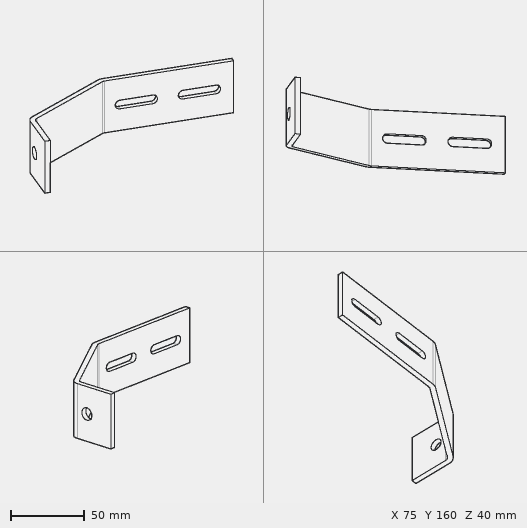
import cadquery as cq
import math

width_x = 75.0
length_y = 160.0
height = 40.0
thickness = 4.0
inner_bend_radius = 3.5
outer_bend_radius = inner_bend_radius + thickness

upper_corner_y = 65.0
lower_corner_x = 40.2

slot_length = 30.2
slot_width = 6.5
slot_end_distances = (24.6, 70.0)

hole_diameter = 9.0
hole_end_distance = 22.0


def bent_strip():
    """Mitred strip outline in XY, extruded upward, with both bends rounded."""
    slant_angle = math.atan2(lower_corner_x, upper_corner_y)
    upper_miter = thickness * math.tan(slant_angle / 2)
    lower_miter = thickness * math.tan((math.pi / 2 - slant_angle) / 2)
    outer_corners = [(0, upper_corner_y), (lower_corner_x, 0)]
    inner_corners = [
        (thickness, upper_corner_y + upper_miter),
        (lower_corner_x + lower_miter, thickness),
    ]
    outline = [
        (0, length_y),
        *outer_corners,
        (width_x, 0),
        (width_x, thickness),
        *reversed(inner_corners),
        (thickness, length_y),
    ]
    strip = cq.Workplane("XY").polyline(outline).close().extrude(height)
    for corners, radius in ((outer_corners, outer_bend_radius), (inner_corners, inner_bend_radius)):
        for x, y in corners:
            bend_edge = cq.selectors.NearestToPointSelector((x, y, height / 2))
            strip = strip.edges("|Z").edges(bend_edge).fillet(radius)
    return strip


def long_leg_slots():
    centers = [(length_y - distance, height / 2) for distance in slot_end_distances]
    return cq.Workplane("YZ").pushPoints(centers).slot2D(slot_length, slot_width).extrude(thickness)


def short_leg_hole():
    center_x = width_x - hole_end_distance
    hole = cq.Workplane("XZ").center(center_x, height / 2).circle(hole_diameter / 2)
    return hole.extrude(-thickness)


result = bent_strip().cut(long_leg_slots()).cut(short_leg_hole())